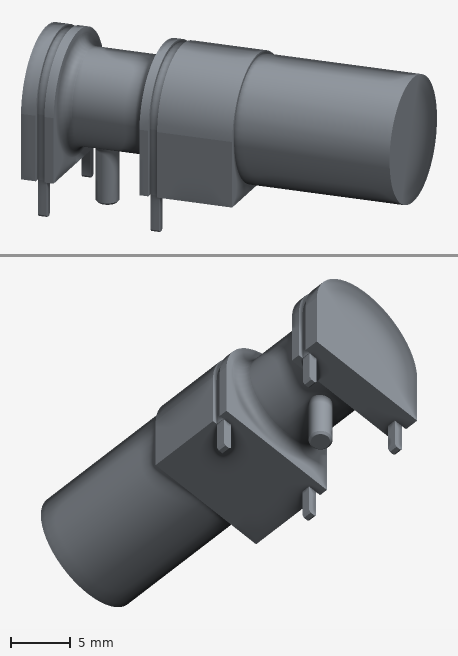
import cadquery as cq

REAR_FLANGE_END = 2.95
FRONT_BLOCK_START = 10.65
FRONT_BLOCK_END = 19.0
LENGTH = 33.0
REAR_CLIP_X = 1.32
FRONT_CLIP_X = 11.45

HOUSING_WIDTH = 12.0
CROWN_HEIGHT = 5.8
OVERALL_HEIGHT = 15.0
BASE_DEPTH = 5.87
BARREL_DIAMETER = 11.12
NECK_DIAMETER = 8.5
NECK_FILLET = 1.0

LEG_END_Z = CROWN_HEIGHT - OVERALL_HEIGHT
CLIP_THICKNESS = 0.8
CLIP_HALF_WIDTH = BARREL_DIAMETER / 2
LEG_OUTER_Y = 5.5
LEG_WIDTH = 0.82
LEG_TIP_CHAMFER = 0.2
PIN_DIAMETER = 2.0
PIN_X = 5.48
PIN_TIP_CHAMFER = 0.2


def arched_block(x_start, length, half_width, crown):
    """Block with upright sides, a flat base and an arched top."""
    return (
        cq.Workplane("YZ", origin=(x_start, 0, 0))
        .moveTo(-half_width, -BASE_DEPTH)
        .lineTo(half_width, -BASE_DEPTH)
        .lineTo(half_width, 0)
        .threePointArc((0, crown), (-half_width, 0))
        .close()
        .extrude(length)
    )


def make_neck():
    """Round neck that flares into the flange at each end."""
    neck_radius = NECK_DIAMETER / 2
    flare_radius = neck_radius + NECK_FILLET
    bend = NECK_FILLET * (1 - 0.5 ** 0.5)
    return (
        cq.Workplane("XY")
        .moveTo(REAR_FLANGE_END, 0)
        .lineTo(REAR_FLANGE_END, flare_radius)
        .threePointArc(
            (REAR_FLANGE_END + bend, neck_radius + bend),
            (REAR_FLANGE_END + NECK_FILLET, neck_radius),
        )
        .lineTo(FRONT_BLOCK_START - NECK_FILLET, neck_radius)
        .threePointArc(
            (FRONT_BLOCK_START - bend, neck_radius + bend),
            (FRONT_BLOCK_START, flare_radius),
        )
        .lineTo(FRONT_BLOCK_START, 0)
        .close()
        .revolve(360, (0, 0, 0), (1, 0, 0))
    )


def make_clip(x_start):
    """U-shaped clip: an arched band with a narrower leg below each side."""
    inner_half_width = LEG_OUTER_Y - LEG_WIDTH
    band = arched_block(x_start, CLIP_THICKNESS, CLIP_HALF_WIDTH, CLIP_HALF_WIDTH)
    opening = arched_block(x_start, CLIP_THICKNESS, inner_half_width, inner_half_width)
    clip = band.cut(opening)
    for side in (-1, 1):
        leg = (
            cq.Workplane("XY", origin=(x_start, 0, LEG_END_Z))
            .center(CLIP_THICKNESS / 2, side * (LEG_OUTER_Y - LEG_WIDTH / 2))
            .rect(CLIP_THICKNESS, LEG_WIDTH)
            .extrude(-LEG_END_Z - BASE_DEPTH)
            .faces("<Z")
            .edges("|X")
            .chamfer(LEG_TIP_CHAMFER)
        )
        clip = clip.union(leg)
    return clip


def make_pin():
    """Contact pin rising from its chamfered tip to the barrel axis."""
    return (
        cq.Workplane("XY", origin=(PIN_X, 0, LEG_END_Z))
        .circle(PIN_DIAMETER / 2)
        .extrude(-LEG_END_Z)
        .faces("<Z")
        .chamfer(PIN_TIP_CHAMFER)
    )


def make_housing(inserts):
    """Flange, neck, front block and barrel, with a recess for each insert."""
    half_width = HOUSING_WIDTH / 2
    rear_flange = arched_block(0, REAR_FLANGE_END, half_width, CROWN_HEIGHT)
    front_block = arched_block(
        FRONT_BLOCK_START, FRONT_BLOCK_END - FRONT_BLOCK_START, half_width, CROWN_HEIGHT
    )
    barrel = (
        cq.Workplane("YZ", origin=(FRONT_BLOCK_END, 0, 0))
        .circle(BARREL_DIAMETER / 2)
        .extrude(LENGTH - FRONT_BLOCK_END)
    )
    housing = rear_flange.union(make_neck()).union(front_block).union(barrel)

    for x_start in (REAR_CLIP_X, FRONT_CLIP_X):
        groove = arched_block(x_start, CLIP_THICKNESS, HOUSING_WIDTH, HOUSING_WIDTH).cut(
            arched_block(x_start, CLIP_THICKNESS, CLIP_HALF_WIDTH, CLIP_HALF_WIDTH)
        )
        housing = housing.cut(groove)

    for insert in inserts:
        housing = housing.cut(insert)
    return housing


clips = [make_clip(x_start) for x_start in (REAR_CLIP_X, FRONT_CLIP_X)]
pin = make_pin()
housing = make_housing([*clips, pin])

result = cq.Compound.makeCompound([housing.val(), pin.val(), *[clip.val() for clip in clips]])